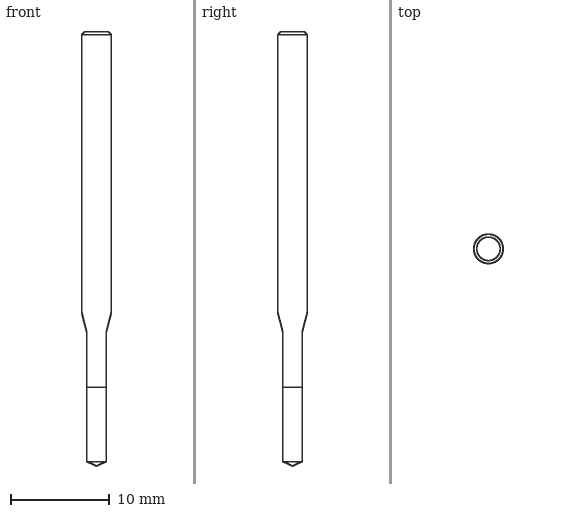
import cadquery as cq
import math

total_length = 44.0
shank_diameter = 3.0
shank_chamfer = 0.3
cutter_diameter = 2.0
point_angle = 130.0

cutter_top = 8.0
taper_bottom = 13.5
taper_top = 15.5

shank_radius = shank_diameter / 2
cutter_radius = cutter_diameter / 2
neck_radius = cutter_radius
point_height = cutter_radius / math.tan(math.radians(point_angle / 2))


def revolve_about_z(profile_points):
    """Turn a closed half-profile of (radius, height) points about the Z axis."""
    profile = cq.Workplane("XZ").polyline(profile_points).close()
    return profile.revolve(360, (0, 0), (0, 1))


def make_shank():
    """Chamfered shank that tapers down to a slim neck."""
    return revolve_about_z([
        (0, cutter_top),
        (neck_radius, cutter_top),
        (neck_radius, taper_bottom),
        (shank_radius, taper_top),
        (shank_radius, total_length - shank_chamfer),
        (shank_radius - shank_chamfer, total_length),
        (0, total_length),
    ])


def make_cutter():
    """Cylindrical cutting end with a conical point, butted against the neck."""
    return revolve_about_z([
        (0, 0),
        (cutter_radius, point_height),
        (cutter_radius, cutter_top),
        (0, cutter_top),
    ])


shank = make_shank()
cutter = make_cutter()

result = cq.Compound.makeCompound([shank.val(), cutter.val()])